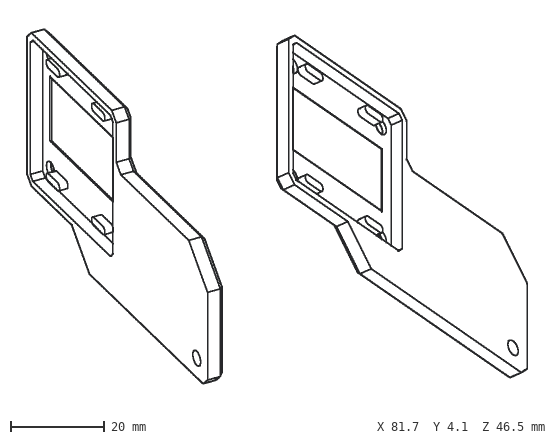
import cadquery as cq

length = 81.7
thickness = 4.1
height = 46.5

frame_width = 40.45
frame_height = 38.5
rim_width = 1.55
tray_depth = 3.0
tray_corner = 1.15

wing_drop = 14.0
ramp_start = 20.3
wing_top_cut = 8.5

corner_cut = 2.05
back_bevel = 1.0

hole_diameter = 3.5
wing_hole_inset = 4.9
window_width = 31.05
window_height = 16.0
window_center_drop = 18.5
window_flare = back_bevel

hole_spacing_x = 30.4
hole_spacing_z = 28.5
rib_spacing_x = 20.5
rib_length = 6.05
rib_width = 2.05
rib_height = 2.05

frame_bottom = height - frame_height
frame_center_x = frame_width / 2
frame_center_z = frame_bottom + frame_height / 2
window_center_z = height - window_center_drop
wing_top = height - wing_drop
ramp_end = ramp_start + frame_bottom


def front_plane(x, z, depth=0.0):
    """Sketch plane facing the front (-Y), centred on (x, z), at a depth behind the front face."""
    return cq.Workplane("XZ", origin=(x, depth, z))


def make_plate():
    """L-shaped plate with 45 degree corners and a bevel all round its back face."""
    outline = [
        (corner_cut, height),
        (frame_width - corner_cut, height),
        (frame_width, height - corner_cut),
        (frame_width, wing_top + corner_cut),
        (frame_width + corner_cut, wing_top),
        (length - wing_top_cut, wing_top),
        (length, wing_top - wing_top_cut),
        (length, corner_cut),
        (length - corner_cut, 0),
        (ramp_end, 0),
        (ramp_start, frame_bottom),
        (corner_cut, frame_bottom),
        (0, frame_bottom + corner_cut),
        (0, height - corner_cut),
    ]
    plate = front_plane(0, 0).polyline(outline).close().extrude(-thickness)
    return plate.faces(">Y").chamfer(back_bevel)


def make_tray():
    """Recess inside the frame rim, sunk from the front face."""
    return (
        front_plane(frame_center_x, frame_center_z)
        .rect(frame_width - 2 * rim_width, frame_height - 2 * rim_width)
        .extrude(-tray_depth)
        .edges("|Y")
        .chamfer(tray_corner)
    )


def make_ribs():
    """Four round-ended ribs standing on the tray floor, each beside a screw hole."""
    return (
        front_plane(frame_center_x, frame_center_z, tray_depth)
        .rarray(rib_spacing_x, hole_spacing_z, 2, 2)
        .slot2D(rib_length, rib_width)
        .extrude(rib_height)
    )


def make_window():
    """Rectangular opening through the tray floor, flared at 45 degrees towards the back face."""
    opening = (
        front_plane(frame_center_x, window_center_z)
        .rect(window_width, window_height)
        .extrude(-thickness)
    )
    flare = (
        front_plane(frame_center_x, window_center_z, thickness)
        .rect(window_width + 2 * window_flare, window_height + 2 * window_flare)
        .extrude(window_flare, taper=45)
    )
    return opening.union(flare)


def make_holes():
    """Four screw holes in the tray and one near the lower right corner of the wing."""
    screw_holes = (
        front_plane(frame_center_x, frame_center_z)
        .rarray(hole_spacing_x, hole_spacing_z, 2, 2)
        .circle(hole_diameter / 2)
        .extrude(-thickness)
    )
    wing_hole = (
        front_plane(length - wing_hole_inset, wing_hole_inset)
        .circle(hole_diameter / 2)
        .extrude(-thickness)
    )
    return screw_holes.union(wing_hole)


result = make_plate().cut(make_tray()).union(make_ribs()).cut(make_window()).cut(make_holes())